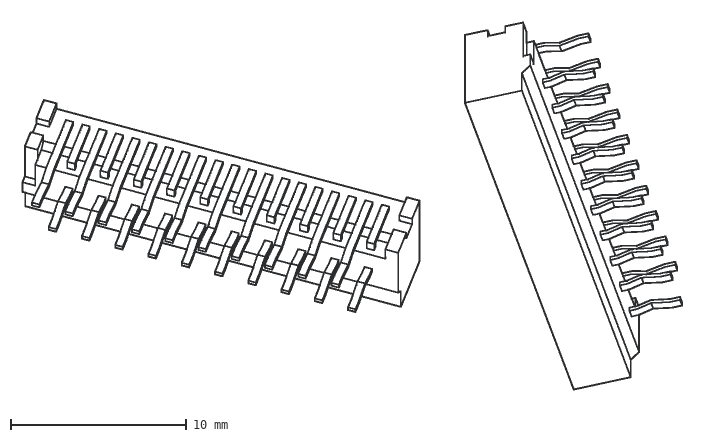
import cadquery as cq
import math


length = 22.6
height = 5.9
depth = 3.89
foot_depth = 3.4
foot_height = 1.51
chamfer_top = 2.03
deck_height = 5.38
ledge_height = 5.0
slope_start = 2.4
slope_end = 2.78

post_width = 0.77
back_post_depth = 1.35
notch_depth = 3.45
notch_floor = 2.98

contact_count = 20
contact_span = 19.0
pitch = contact_span / (contact_count - 1)
contact_width = 0.45
contact_bottom = 5.33
contact_thickness = 0.27
contact_back = 0.75
short_contact_front = 3.53

tail_bend = 4.32
tail_crest = 5.18
tail_straight = 6.28
tail_end = 6.9
tail_offset = 0.27
lower_tail_bottom = 3.4


def extrude_profile(points, start_x, width):
    """Extrude an outline of (distance from back face, height) pairs along X."""
    outline = [(-y, z) for y, z in points]
    return cq.Workplane("YZ").workplane(offset=start_x).polyline(outline).close().extrude(width)


def make_housing():
    body = extrude_profile(
        [
            (0, 0),
            (foot_depth, 0),
            (foot_depth, foot_height),
            (depth, chamfer_top),
            (depth, ledge_height),
            (slope_end, ledge_height),
            (slope_start, deck_height),
            (0, deck_height),
        ],
        -length / 2,
        length,
    )
    for start_x in (-length / 2, length / 2 - post_width):
        for back, front in ((0, back_post_depth), (slope_start, depth)):
            post = [(back, ledge_height), (front, ledge_height), (front, height), (back, height)]
            body = body.union(extrude_profile(post, start_x, post_width))

    notch = [(notch_depth, notch_floor), (depth, notch_floor), (depth, height), (notch_depth, height)]
    return body.cut(extrude_profile(notch, -length / 2, post_width))


def tail_strip(start, bottom, offset):
    """Outline of a bent strip; offset is the height of its crest above its straight ends."""
    inner_angle = math.atan2(offset, tail_crest - tail_bend)
    outer_angle = math.atan2(offset, tail_straight - tail_crest)
    inner_miter = contact_thickness / 2 * math.tan(inner_angle / 2)
    outer_miter = contact_thickness / 2 * math.tan(outer_angle / 2)
    top = bottom + contact_thickness
    return [
        (start, bottom),
        (tail_bend + inner_miter, bottom),
        (tail_crest, bottom + offset),
        (tail_straight - outer_miter, bottom),
        (tail_end, bottom),
        (tail_end, top),
        (tail_straight + outer_miter, top),
        (tail_crest, top + offset),
        (tail_bend - inner_miter, top),
        (start, top),
    ]


long_contact = tail_strip(contact_back, contact_bottom, -tail_offset)

contact_top = contact_bottom + contact_thickness
short_leg_back = short_contact_front - contact_thickness
short_contact = [
    (contact_back, contact_bottom),
    (short_leg_back, contact_bottom),
    (short_leg_back, ledge_height),
    (short_contact_front, ledge_height),
    (short_contact_front, contact_top),
    (contact_back, contact_top),
]
lower_tail = tail_strip(depth, lower_tail_bottom, tail_offset)

result = make_housing()
for index in range(contact_count):
    center_x = index * pitch - contact_span / 2
    profiles = [long_contact] if index % 2 == 0 else [short_contact, lower_tail]
    for profile in profiles:
        result = result.union(extrude_profile(profile, center_x - contact_width / 2, contact_width))